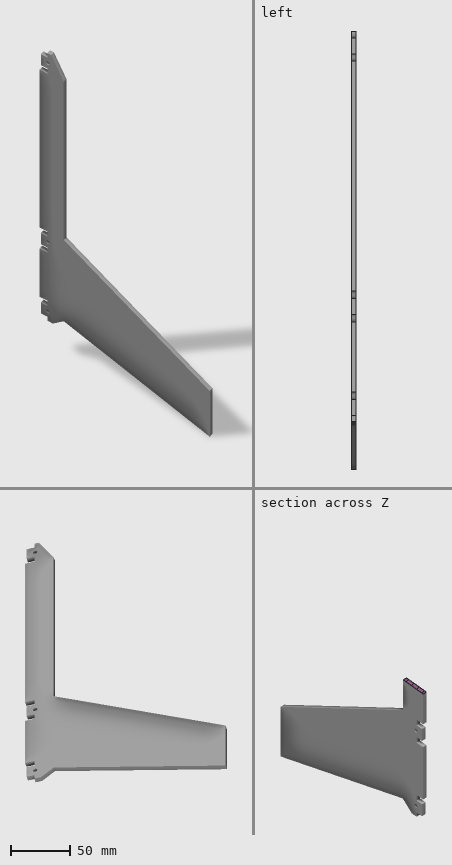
import cadquery as cq

length = 175.66
thickness = 4.0
height = 370.22

upright_width = 25.0
upright_foot_z = 40.8
top_nose_x = 12.0
top_nose_height = 25.0
bottom_nose_x = 13.8

arm_top_root_z = 150.5
arm_bottom_root_z = 50.5
arm_tip_height = 56.2

tab_setback = 1.3
tab_height = 13.5
slot_height = 6.25
slot_depth = 8.0
hole_diameter = 4.0
hole_x = 8.7
tab_centers_z = (52.5, 137.8, 358.0)


def make_plate():
    """Upright and arm in one flat sheet, without tabs or holes."""
    outline = [
        (0, upright_foot_z),
        (bottom_nose_x, upright_foot_z),
        (upright_width, arm_bottom_root_z),
        (length, 0),
        (length, arm_tip_height),
        (upright_width, arm_top_root_z),
        (upright_width, height - top_nose_height),
        (top_nose_x, height),
        (0, height),
    ]
    return cq.Workplane("XZ").polyline(outline).close().extrude(thickness)


def back_edge_block(depth, z_low, z_high):
    """Block filling the back edge to a given depth between two heights."""
    block = cq.Workplane("XY").box(depth, thickness, z_high - z_low, centered=False)
    return block.translate((0, -thickness, z_low))


def cut_tab(plate, center_z):
    """Set a tab back from the edge, cut the slots beside it and drill its hole."""
    tab_low = center_z - tab_height / 2
    tab_high = center_z + tab_height / 2
    slot_low = tab_low - slot_height
    slot_high = tab_high + slot_height
    plate = plate.cut(back_edge_block(tab_setback, tab_low, tab_high))
    plate = plate.cut(back_edge_block(slot_depth, slot_low, tab_low))
    plate = plate.cut(back_edge_block(slot_depth, tab_high, slot_high))
    hole_circle = cq.Workplane("XZ").center(hole_x, center_z).circle(hole_diameter / 2)
    return plate.cut(hole_circle.extrude(thickness))


result = make_plate()
for tab_center_z in tab_centers_z:
    result = cut_tab(result, tab_center_z)